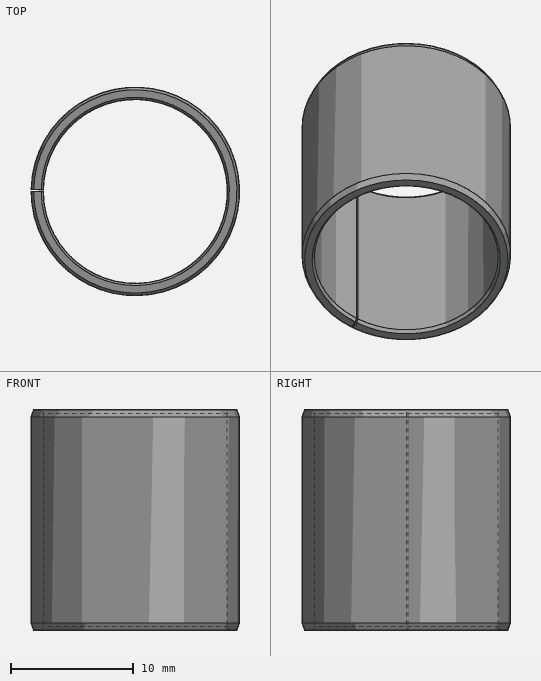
import cadquery as cq

length = 18.0
outer_diameter = 17.0
wall = 1.0
outer_chamfer_height = 0.6
outer_chamfer_depth = 0.22
inner_chamfer_height = 0.3
inner_chamfer_depth = 0.18
split_angle = 1.0

outer_radius = outer_diameter / 2
inner_radius = outer_radius - wall


def bush_body():
    """Revolve the chamfered wall section about Z, leaving the split open on the -Y side of the +X axis."""
    top = length / 2
    shoulder = top - outer_chamfer_height
    inner_edge = top - inner_chamfer_height
    rim_outer = outer_radius - outer_chamfer_depth
    rim_inner = inner_radius + inner_chamfer_depth
    section = (
        cq.Workplane("XZ")
        .moveTo(inner_radius, -inner_edge)
        .lineTo(rim_inner, -top)
        .lineTo(rim_outer, -top)
        .lineTo(outer_radius, -shoulder)
        .lineTo(outer_radius, shoulder)
        .lineTo(rim_outer, top)
        .lineTo(rim_inner, top)
        .lineTo(inner_radius, inner_edge)
        .close()
    )
    return section.revolve(360 - split_angle, (0, 0, 0), (0, 1, 0))


result = bush_body().rotate((0, 0, 0), (0, 0, 1), 180)